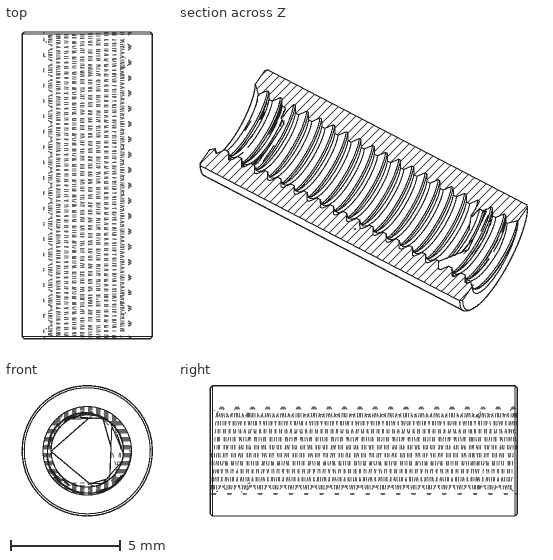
import cadquery as cq

OUTER_DIAMETER = 5.95
LENGTH = 14.0
OUTER_CHAMFER = 0.1

THREAD_DIAMETER = 4.0
PITCH = 0.7
BORE_DIAMETER = 3.3
CREST_FLAT = PITCH / 4
ROOT_FLAT = PITCH / 8

ENTRY_DIAMETER = 4.04

OVERCUT = 0.05

outer_radius = OUTER_DIAMETER / 2
bore_radius = BORE_DIAMETER / 2
entry_radius = ENTRY_DIAMETER / 2
root_radius = THREAD_DIAMETER / 2


def plain_sleeve():
    """Tube with chamfered outer rims and a countersink at each end of its bore."""
    rim_radius = outer_radius - OUTER_CHAMFER
    entry_depth = entry_radius - bore_radius
    outline = [
        (bore_radius, entry_depth),
        (entry_radius, 0),
        (rim_radius, 0),
        (outer_radius, OUTER_CHAMFER),
        (outer_radius, LENGTH - OUTER_CHAMFER),
        (rim_radius, LENGTH),
        (entry_radius, LENGTH),
        (bore_radius, LENGTH - entry_depth),
    ]
    return cq.Workplane("YZ").polyline(outline).close().revolve(360, (0, 0, 0), (0, 1, 0))


def thread_groove():
    """Helical groove cutter whose centre line runs from one end face to the other."""
    crest_half_width = (PITCH - CREST_FLAT) / 2
    root_half_width = ROOT_FLAT / 2
    flank_slope = (crest_half_width - root_half_width) / (root_radius - bore_radius)
    inner_radius = bore_radius - OVERCUT
    inner_half_width = crest_half_width + OVERCUT * flank_slope
    profile = [
        (inner_radius, -inner_half_width),
        (root_radius, -root_half_width),
        (root_radius, root_half_width),
        (inner_radius, inner_half_width),
    ]
    helix = cq.Workplane(cq.Wire.makeHelix(PITCH, LENGTH, bore_radius))
    return cq.Workplane("XZ").polyline(profile).close().sweep(helix, isFrenet=True)


threaded_sleeve = plain_sleeve().cut(thread_groove())
centred_sleeve = threaded_sleeve.translate((0, 0, -LENGTH / 2))
result = centred_sleeve.rotate((0, 0, 0), (1, 0, 0), -90).solids()